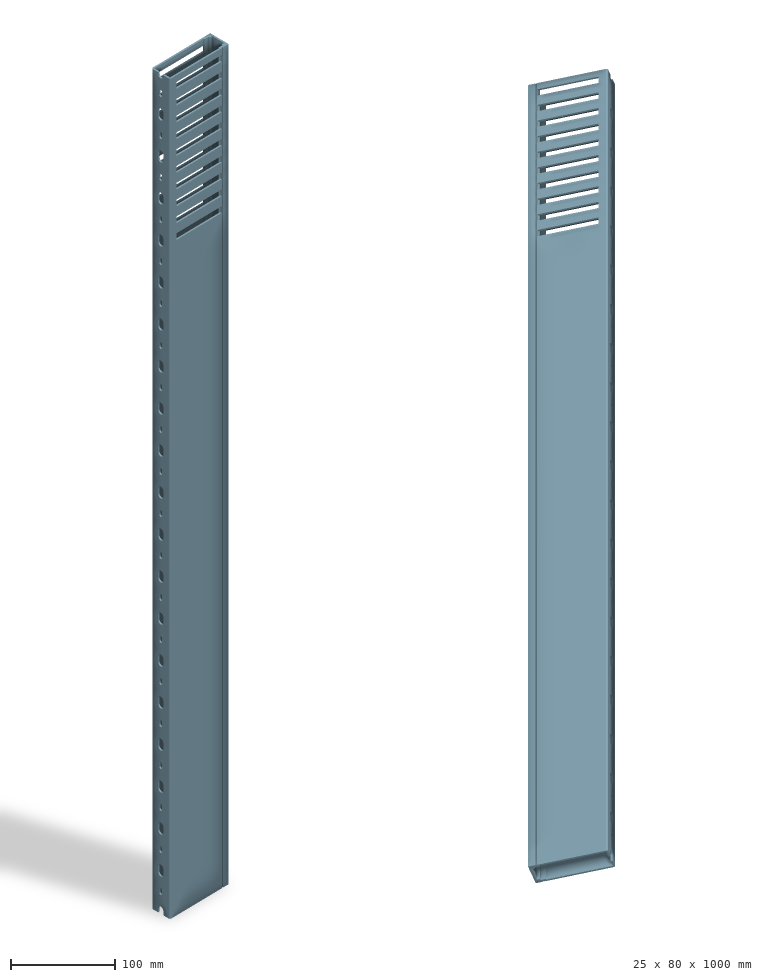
import cadquery as cq

LENGTH = 1000.0
WIDTH = 25.0
HEIGHT = 80.0

WALL = 2.0

FLOOR_Y = -HEIGHT / 2
CORNER_RADIUS = 1.8
RIM_BEVEL_DEPTH = 1.0
RIM_BEVEL_HEIGHT = 1.5
INNER_WIDTH = WIDTH - 2 * WALL

CAP_DEPTH = 7.5
LID_TOP = HEIGHT / 2
RIM_Y = LID_TOP - CAP_DEPTH
LEG_THICKNESS = 1.0
LEG_END_Y = 29.0
CORNER_STEP_WIDTH = 1.5
CORNER_STEP_HEIGHT = 3.5

SLOT_COUNT = 10
SLOT_PITCH = 20.0
SLOT_HEIGHT = 8.0
FIRST_SLOT_DROP = 12.0
SLOT_LOW_Y = -31.0
SLOT_HIGH_Y = RIM_Y - WALL

HOLE_PITCH = 50.0
HOLE_SHIFT = 1.5
LARGE_HOLE_LENGTH = 14.0
LARGE_HOLE_WIDTH = 7.0
SMALL_HOLE_LENGTH = 8.0
SMALL_HOLE_WIDTH = 4.0


def bar(width, y_low, y_high, z_low=0.0, z_high=LENGTH):
    """Bar centred on X between two Y levels and two Z levels."""
    return (
        cq.Workplane("XY", origin=(0, (y_low + y_high) / 2, z_low))
        .rect(width, y_high - y_low)
        .extrude(z_high - z_low)
    )


def rim_bevel(side):
    """Triangular cutter along the outer edge of the rim; side is -1 or 1 along X."""
    outer_x = side * WIDTH / 2
    return (
        cq.Workplane("XY")
        .moveTo(outer_x, RIM_Y - RIM_BEVEL_HEIGHT)
        .lineTo(outer_x, RIM_Y)
        .lineTo(outer_x - side * RIM_BEVEL_DEPTH, RIM_Y)
        .close()
        .extrude(LENGTH)
    )


def wire_slot(index):
    """Rectangular cutter through both side walls, counted from the +Z end."""
    middle = LENGTH - FIRST_SLOT_DROP - index * SLOT_PITCH
    return bar(WIDTH, SLOT_LOW_Y, SLOT_HIGH_Y, middle - SLOT_HEIGHT / 2, middle + SLOT_HEIGHT / 2)


def mounting_holes(length, width, heights):
    """Obround cutters, long axis along Z, through the floor only."""
    return (
        cq.Workplane("XZ", origin=(0, FLOOR_Y + WALL, 0))
        .pushPoints([(0, z) for z in heights])
        .slot2D(length, width, 90)
        .extrude(WALL)
    )


def make_trough():
    body = bar(WIDTH, FLOOR_Y, RIM_Y).edges("|Z and <Y").fillet(CORNER_RADIUS)
    body = body.cut(bar(INNER_WIDTH, FLOOR_Y + WALL, RIM_Y))
    for side in (-1, 1):
        body = body.cut(rim_bevel(side))
    for index in range(SLOT_COUNT):
        body = body.cut(wire_slot(index))
    pitch_count = round(LENGTH / HOLE_PITCH)
    large_heights = [HOLE_SHIFT + HOLE_PITCH * i for i in range(pitch_count + 1)]
    small_heights = [HOLE_SHIFT + HOLE_PITCH * (i + 0.5) for i in range(pitch_count)]
    body = body.cut(mounting_holes(LARGE_HOLE_LENGTH, LARGE_HOLE_WIDTH, large_heights))
    return body.cut(mounting_holes(SMALL_HOLE_LENGTH, SMALL_HOLE_WIDTH, small_heights))


def make_lid():
    cap = bar(WIDTH, RIM_Y, LID_TOP)
    legs = bar(INNER_WIDTH, LEG_END_Y, RIM_Y)
    leg_gap = INNER_WIDTH - 2 * LEG_THICKNESS
    cavity_top = LID_TOP - WALL
    between_legs = bar(leg_gap, LEG_END_Y, cavity_top - CORNER_STEP_HEIGHT)
    between_steps = bar(leg_gap - 2 * CORNER_STEP_WIDTH, LEG_END_Y, cavity_top)
    return cap.union(legs).cut(between_legs).cut(between_steps)


trough = make_trough()
lid = make_lid()
result = cq.Compound.makeCompound([trough.solids().val(), lid.solids().val()])